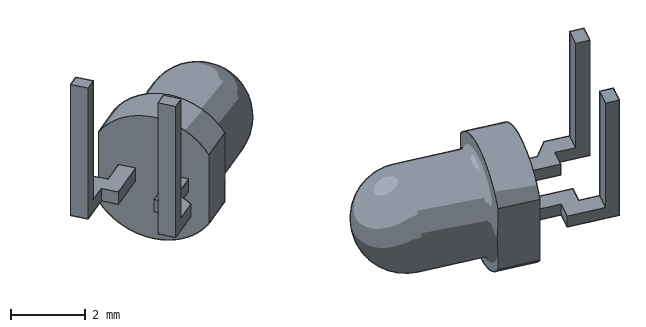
import cadquery as cq
import math

lens_radius = 1.5
lens_length = 4.8
flange_radius = 1.945
flange_width = 3.2
flange_thickness = 1.2
fillet_radius = 0.205

lead_thickness = 0.4
lead_top = 4.0
square_lead_end = -2.285
sloped_lead_end = -2.3
upright_front = -1.89
lead_inner_x = 0.52
lead_middle_x = 1.015
lead_outer_x = 1.53
jog_front = -0.795
jog_back = -1.3
sloped_jog_end = -1.16


def make_lens():
    """Domed lens with a flange cut flat on both sides and a concave fillet between them."""
    dome_base = lens_length - lens_radius
    fillet_top = flange_thickness + fillet_radius
    fillet_outer = lens_radius + fillet_radius
    diagonal = math.sqrt(0.5)
    dome_middle = (lens_radius * diagonal, dome_base + lens_radius * diagonal)
    fillet_middle = (
        fillet_outer - fillet_radius * diagonal,
        fillet_top - fillet_radius * diagonal,
    )
    turned = (
        cq.Workplane("XY")
        .lineTo(flange_radius, 0)
        .lineTo(flange_radius, flange_thickness)
        .lineTo(fillet_outer, flange_thickness)
        .threePointArc(fillet_middle, (lens_radius, fillet_top))
        .lineTo(lens_radius, dome_base)
        .threePointArc(dome_middle, (0, lens_length))
        .close()
        .revolve(360, (0, 0, 0), (0, 1, 0))
    )
    between_flats = cq.Workplane("XY").box(flange_width, 2 * lens_length, 2 * flange_radius)
    return turned.intersect(between_flats)


def make_lead(side, outer_jog_y, end_y):
    """Bent lead on one side (-1 or +1), with its jog meeting the outer edge at outer_jog_y."""
    outline = [
        (lead_inner_x, 0),
        (lead_middle_x, 0),
        (lead_middle_x, jog_front),
        (lead_outer_x, outer_jog_y),
        (lead_outer_x, end_y),
        (lead_middle_x, end_y),
        (lead_middle_x, jog_back),
        (lead_inner_x, jog_back),
    ]
    lead_bottom = -lead_thickness / 2
    foot = (
        cq.Workplane("XY", origin=(0, 0, lead_bottom))
        .polyline([(side * x, y) for x, y in outline])
        .close()
        .extrude(lead_thickness)
    )
    upright = (
        cq.Workplane("XY", origin=(0, 0, lead_bottom))
        .center(side * (lead_middle_x + lead_outer_x) / 2, (upright_front + end_y) / 2)
        .rect(lead_outer_x - lead_middle_x, upright_front - end_y)
        .extrude(lead_top - lead_bottom)
    )
    return foot.union(upright)


lens = make_lens()
leads = [
    make_lead(side, outer_jog_y, end_y).val()
    for side, outer_jog_y, end_y in [
        (-1, jog_front, square_lead_end),
        (1, sloped_jog_end, sloped_lead_end),
    ]
]

result = cq.Compound.makeCompound([lens.val(), *leads])